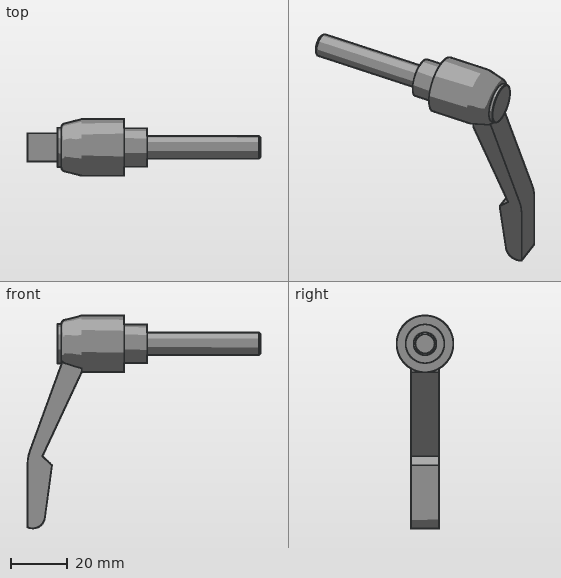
import cadquery as cq
import math

cap_start = 10.5
head_start = 11.9
head_round_mid = 12.3
cone_start = 13.0
hub_start = 19.1
hub_end = 34.0
collar_end = 42.1
rod_end = 82.0

cap_radius = 7.0
cone_small_radius = 8.45
hub_radius = 10.0
collar_radius = 6.8
rod_radius = 4.0
head_round_mid_radius = 7.95
cap_chamfer = 0.2
rod_chamfer = 0.65

handle_width = 10.0
arm_lean = 20.0
outer_bend_z = -40.0
outer_bend_radius = 14.4
inner_bend = (5.3, -39.5)
grip_lip = (8.7, -42.7)
tip_radius = 4.35
tip_center_x = 1.9
handle_bottom = -64.95
root_z = -4.9


def make_body():
    """Revolve the cap, head, hub, collar and threaded rod about X."""
    profile = (
        cq.Workplane("XZ")
        .moveTo(cap_start, 0)
        .lineTo(cap_start, cap_radius - cap_chamfer)
        .lineTo(cap_start + cap_chamfer, cap_radius)
        .lineTo(head_start, cap_radius)
        .threePointArc(
            (head_round_mid, head_round_mid_radius),
            (cone_start, cone_small_radius),
        )
        .lineTo(hub_start, hub_radius)
        .lineTo(hub_end, hub_radius)
        .lineTo(hub_end, collar_radius)
        .lineTo(collar_end, collar_radius)
        .lineTo(collar_end, rod_radius)
        .lineTo(rod_end - rod_chamfer, rod_radius)
        .lineTo(rod_end, rod_radius - rod_chamfer)
        .lineTo(rod_end, 0)
        .close()
    )
    return profile.revolve(360, (0, 0, 0), (1, 0, 0))


def on_tip(angle):
    """Point on the rounded tip at an angle in radians from +X."""
    center_z = handle_bottom + tip_radius
    return (
        tip_center_x + tip_radius * math.cos(angle),
        center_z + tip_radius * math.sin(angle),
    )


def make_handle():
    """Extrude the bent lever symmetrically about the XZ plane."""
    lean = math.radians(arm_lean)

    setback = outer_bend_radius * math.tan(lean / 2)
    bend_bottom = (0, outer_bend_z - setback)
    bend_top = (setback * math.sin(lean), outer_bend_z + setback * math.cos(lean))
    root_outer = ((root_z - outer_bend_z) * math.tan(lean), root_z)

    lip_dx = grip_lip[0] - tip_center_x
    lip_dz = grip_lip[1] - (handle_bottom + tip_radius)
    lip_distance = math.hypot(lip_dx, lip_dz)
    tangent_angle = math.atan2(lip_dz, lip_dx) - math.acos(tip_radius / lip_distance)
    tip_end_angle = -math.acos(-tip_center_x / tip_radius)

    profile = (
        cq.Workplane("XZ")
        .moveTo(*root_outer)
        .lineTo(*bend_top)
        .tangentArcPoint(bend_bottom, relative=False)
        .lineTo(*on_tip(tip_end_angle))
        .threePointArc(on_tip(-math.pi / 2), on_tip(tangent_angle))
        .lineTo(*grip_lip)
        .lineTo(*inner_bend)
        .lineTo(hub_start, -hub_radius)
        .lineTo(hub_start, root_z)
        .close()
    )
    return profile.extrude(handle_width / 2, both=True)


result = make_body().union(make_handle())